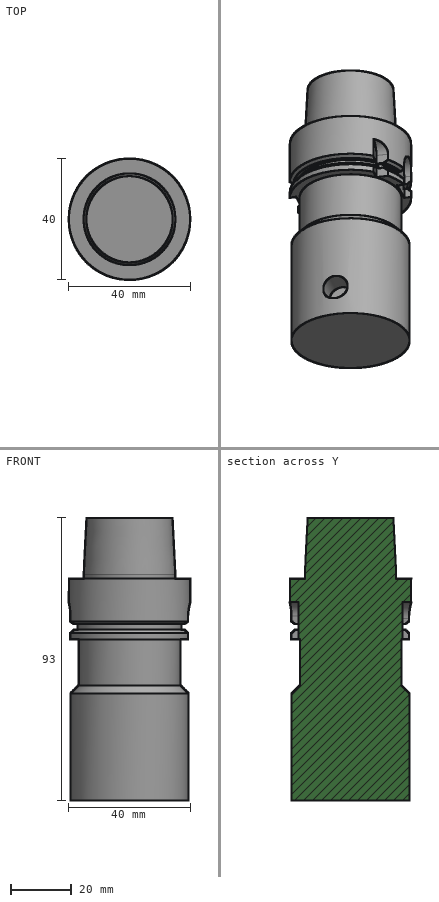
import cadquery as cq

total_height = 93.0
body_diameter = 39.0
neck_diameter = 33.6
flange_diameter = 40.0
groove_diameter = 35.0
groove_lip_diameter = 37.6
shank_base_diameter = 30.2
shank_tip_diameter = 28.4

neck_bottom = 37.9
flange_bottom = 53.0
lower_rim_top = 55.1
groove_bottom = 56.3
groove_top = 58.0
upper_rim_bottom = 59.0
flange_top = 73.0
taper_bottom = 74.4

slot_top = 65.2
drive_slot_width = 8.9
drive_slot_floor = 17.1
wide_slot_width = 10.6
index_notch_width = 8.3
index_notch_center_y = 16.1
index_notch_floor = 12.1

screw_hole_diameter = 8.3
screw_hole_height = 10.0
screw_hole_depth = 8.4


def turned_body():
    """Solid of revolution: body, neck, grooved flange and tapered shank."""
    body_radius = body_diameter / 2
    neck_radius = neck_diameter / 2
    flange_radius = flange_diameter / 2
    groove_radius = groove_diameter / 2
    shoulder_height = body_radius - neck_radius
    profile = [
        (0, 0),
        (body_radius, 0),
        (body_radius, neck_bottom - shoulder_height),
        (neck_radius, neck_bottom),
        (neck_radius, flange_bottom),
        (flange_radius, flange_bottom),
        (flange_radius, lower_rim_top),
        (groove_lip_diameter / 2, groove_bottom),
        (groove_radius, groove_bottom),
        (groove_radius, groove_top),
        (groove_lip_diameter / 2, groove_top),
        (flange_radius, upper_rim_bottom),
        (flange_radius, flange_top),
        (shank_base_diameter / 2, flange_top),
        (shank_base_diameter / 2, taper_bottom),
        (shank_tip_diameter / 2, total_height),
        (0, total_height),
    ]
    return cq.Workplane("XZ").polyline(profile).close().revolve(360, (0, 0), (0, 1))


def slot_cutter(width, center_y, floor_distance, side):
    """Round-topped cutter reaching outward along X; side is -1 or +1."""
    radius = width / 2
    arch_center = slot_top - radius
    return (
        cq.Workplane("YZ", origin=(side * floor_distance, 0, 0))
        .moveTo(center_y - radius, flange_bottom)
        .lineTo(center_y - radius, arch_center)
        .threePointArc((center_y, slot_top), (center_y + radius, arch_center))
        .lineTo(center_y + radius, flange_bottom)
        .close()
        .extrude(side * flange_diameter / 2)
    )


def screw_hole():
    """Blind hole entering the body from the +Y side."""
    hole_floor = body_diameter / 2 - screw_hole_depth
    return (
        cq.Workplane("XZ", origin=(0, hole_floor, screw_hole_height))
        .circle(screw_hole_diameter / 2)
        .extrude(-body_diameter / 2)
    )


result = (
    turned_body()
    .cut(slot_cutter(drive_slot_width, 0, drive_slot_floor, -1))
    .cut(slot_cutter(wide_slot_width, 0, drive_slot_floor, 1))
    .cut(slot_cutter(index_notch_width, index_notch_center_y, index_notch_floor, -1))
    .cut(screw_hole())
)